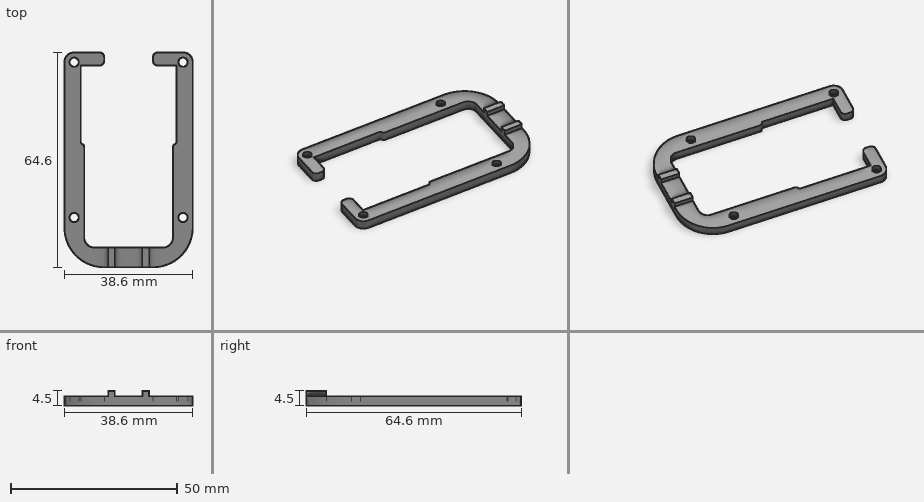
import cadquery as cq

length = 64.6
width = 38.6
total_height = 4.5
thickness = 3.0
closed_end_radius = 12.0
open_end_radius = 3.0

wall = 6.0
thin_wall = 5.0
inner_radius = 3.0
step_start = 26.8
step_length = 1.55

hook_length = 12.0
hook_depth = 4.0
hook_tip_radius = 1.5

hole_diameter = 2.7
hole_inset = 3.0
lower_hole_y = 15.0

rib_width = 2.0
rib_gap = 8.3

half_width = width / 2
rail_x = half_width - wall
thin_rail_x = half_width - thin_wall
hook_tip_x = half_width - hook_length
hook_bottom_y = length - hook_depth
step_middle_x = (rail_x + thin_rail_x) / 2
step_top_y = length - step_start
step_bottom_y = step_top_y - step_length
step_middle_y = (step_top_y + step_bottom_y) / 2


def box(x_min, x_max, y_min, y_max, z_min, z_max):
    """Return a block between the given limits."""
    size = (x_max - x_min, y_max - y_min, z_max - z_min)
    return cq.Workplane().box(*size, centered=False).translate((x_min, y_min, z_min))


def half_frame():
    """Right half of the frame, with its hook and S-shaped wall step."""
    return (
        cq.Workplane()
        .moveTo(0, 0)
        .lineTo(half_width - closed_end_radius, 0)
        .tangentArcPoint((half_width, closed_end_radius), relative=False)
        .lineTo(half_width, length - open_end_radius)
        .tangentArcPoint((half_width - open_end_radius, length), relative=False)
        .lineTo(hook_tip_x + hook_tip_radius, length)
        .tangentArcPoint((hook_tip_x, length - hook_tip_radius), relative=False)
        .lineTo(hook_tip_x, hook_bottom_y + hook_tip_radius)
        .tangentArcPoint((hook_tip_x + hook_tip_radius, hook_bottom_y), relative=False)
        .lineTo(thin_rail_x, hook_bottom_y)
        .lineTo(thin_rail_x, step_top_y)
        .tangentArcPoint((step_middle_x, step_middle_y), relative=False)
        .tangentArcPoint((rail_x, step_bottom_y), relative=False)
        .lineTo(rail_x, wall + inner_radius)
        .tangentArcPoint((rail_x - inner_radius, wall), relative=False)
        .lineTo(0, wall)
        .close()
        .extrude(thickness)
    )


right_half = half_frame()
frame = right_half.union(right_half.mirror("YZ")).clean()

hole_x = half_width - hole_inset
hole_centers = [(side * hole_x, y) for side in (-1, 1) for y in (lower_hole_y, length - hole_inset)]
holes = cq.Workplane().pushPoints(hole_centers).circle(hole_diameter / 2).extrude(thickness)
result = frame.cut(holes)

rib = box(rib_gap / 2, rib_gap / 2 + rib_width, 0, wall, 0, total_height)
result = result.union(rib).union(rib.mirror("YZ")).clean()